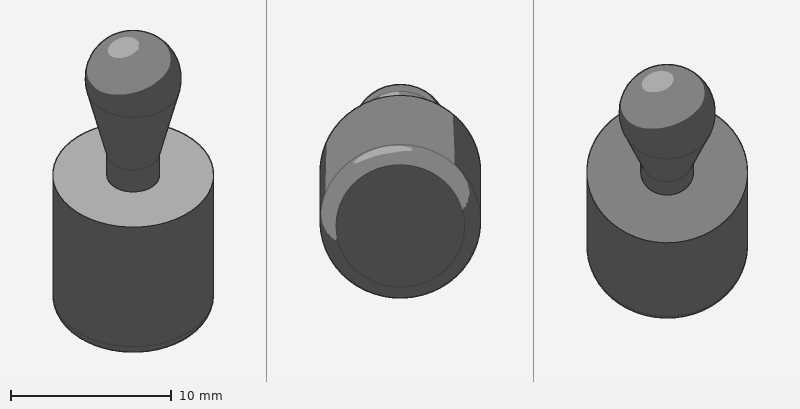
import cadquery as cq
import math

total_height = 21.7
body_diameter = 10.0
body_height = 10.8
body_edge_radius = 1.0
neck_diameter = 3.3
neck_height = 1.8
ball_diameter = 6.0

body_radius = body_diameter / 2
neck_radius = neck_diameter / 2
ball_radius = ball_diameter / 2
neck_top = body_height + neck_height
ball_center = total_height - ball_radius

edge_drop = ball_center - neck_top
edge_distance = math.hypot(neck_radius, edge_drop)
edge_angle = -math.atan2(edge_drop, neck_radius)
tangent_angle = edge_angle + math.acos(ball_radius / edge_distance)


def ball_point(angle):
    """Point (radius, height) on the ball's outline."""
    return (
        ball_radius * math.cos(angle),
        ball_center + ball_radius * math.sin(angle),
    )


def make_body():
    """Cylinder with a rounded bottom edge."""
    body = cq.Workplane("XY").circle(body_radius).extrude(body_height)
    return body.faces("<Z").edges().fillet(body_edge_radius)


def make_handle():
    """Neck, flaring cone and ball, revolved about Z."""
    pole_angle = math.pi / 2
    middle_angle = (tangent_angle + pole_angle) / 2
    return (
        cq.Workplane("XZ")
        .moveTo(0, body_height)
        .lineTo(neck_radius, body_height)
        .lineTo(neck_radius, neck_top)
        .lineTo(*ball_point(tangent_angle))
        .threePointArc(ball_point(middle_angle), (0, total_height))
        .close()
        .revolve(360, (0, 0, 0), (0, 1, 0))
    )


result = make_body().union(make_handle())